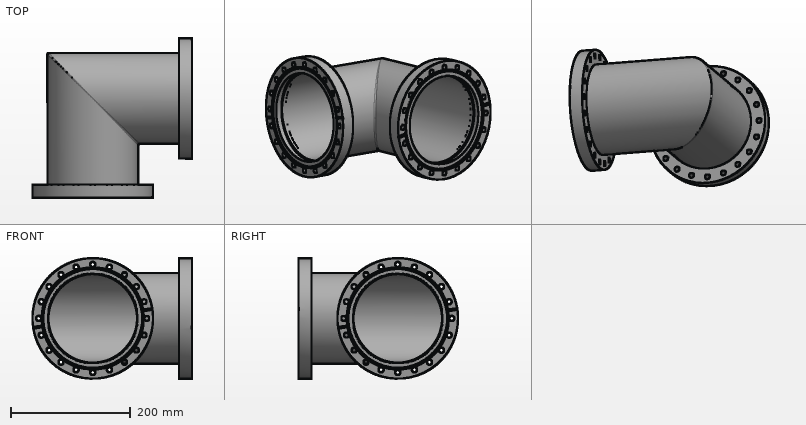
import cadquery as cq
arm_length = 166.5

pipe_outer_radius = 76.4
pipe_bore_radius = 74.2
pipe_setback = 13.0
mitre_fillet = 2.5

flange_radius = 101.3
flange_bore_radius = 75.0
flange_thickness = 22.2
rim_chamfer = 0.3
bolt_count = 20
bolt_circle_radius = 90.5
bolt_hole_diameter = 8.3

recess_radius = 85.7
recess_depth = 2.1
knife_edge_radius = 82.8
floor_depth = 1.0

leak_groove_count = 2
leak_groove_width = 3.0
leak_groove_depth = 1.0
leak_groove_angle = 180 / bolt_count


def mitred_rod(radius, length):
    """Two equal round rods, along -Y and +X, that meet on the 45 degree mitre plane."""
    near_side = (
        cq.Workplane("XY")
        .polyline([(-radius, radius), (-radius, -length), (length, -length)])
        .close()
        .extrude(radius, both=True)
    )
    rod_along_y = (
        cq.Workplane("XZ", origin=(0, radius, 0)).circle(radius).extrude(length + radius).intersect(near_side)
    )
    rod_along_x = rod_along_y.mirror("YZ").rotate((0, 0, 0), (0, 0, 1), 90)
    return rod_along_y.union(rod_along_x)


def round_mitre_edge(rod):
    """Blend the mitre edge, on the half round the outer corner and on the half in the inner corner.

    The edge fades to smooth where the halves meet, so each half is blended alone.
    """
    block_size = 6 * arm_length
    on_mitre_plane = cq.Workplane("XY")
    halves = []
    for side in (1, -1):
        half_space = (
            on_mitre_plane
            .box(block_size, block_size, block_size)
            .translate((side * block_size / 2, 0, 0))
            .rotate((0, 0, 0), (0, 0, 1), 135)
        )
        half = rod.intersect(half_space)
        mitre_edges = half.edges("%ELLIPSE").filter(lambda edge: abs(edge.Center().x + edge.Center().y) < mitre_fillet)
        outer_edges = [edge for edge in mitre_edges.vals() if abs(edge.Center().x) > mitre_fillet]
        halves.append(half.newObject(outer_edges).fillet(mitre_fillet))
    return halves[0].union(halves[1])


def make_elbow():
    """Thin-walled 90 degree mitred pipe."""
    length = arm_length - pipe_setback
    outside = round_mitre_edge(mitred_rod(pipe_outer_radius, length))
    return outside.cut(mitred_rod(pipe_bore_radius, length))


def make_flange():
    """Flange on the Z axis, with its sealing face at Z = 0 looking toward +Z."""
    profile = [
        (flange_bore_radius, -floor_depth),
        (knife_edge_radius, -floor_depth),
        (recess_radius, -recess_depth),
        (recess_radius, 0),
        (flange_radius - rim_chamfer, 0),
        (flange_radius, -rim_chamfer),
        (flange_radius, rim_chamfer - flange_thickness),
        (flange_radius - rim_chamfer, -flange_thickness),
        (pipe_outer_radius, -flange_thickness),
        (pipe_outer_radius, -pipe_setback),
        (flange_bore_radius, -pipe_setback),
    ]
    body = cq.Workplane("XZ").polyline(profile).close().revolve(360, (0, 0, 0), (0, 1, 0))

    bolt_holes = (
        cq.Workplane("XY")
        .polarArray(bolt_circle_radius, 0, 360, bolt_count)
        .circle(bolt_hole_diameter / 2)
        .extrude(-flange_thickness)
    )
    groove_length = 2 * (flange_radius - recess_radius)
    groove_middle = recess_radius + groove_length / 2
    leak_grooves = (
        cq.Workplane("XY")
        .polarArray(groove_middle, leak_groove_angle, 360, leak_groove_count)
        .rect(groove_length, leak_groove_width)
        .extrude(-leak_groove_depth)
    )
    return body.cut(bolt_holes).cut(leak_grooves)


elbow = make_elbow()

flanges = []
for turn in (0, 90):
    flange = (
        make_flange()
        .rotate((0, 0, 0), (1, 0, 0), 90)
        .translate((0, -arm_length, 0))
        .rotate((0, 0, 0), (0, 0, 1), turn)
    )
    flanges.append(flange.val())

result = cq.Compound.makeCompound([elbow.val(), *flanges])